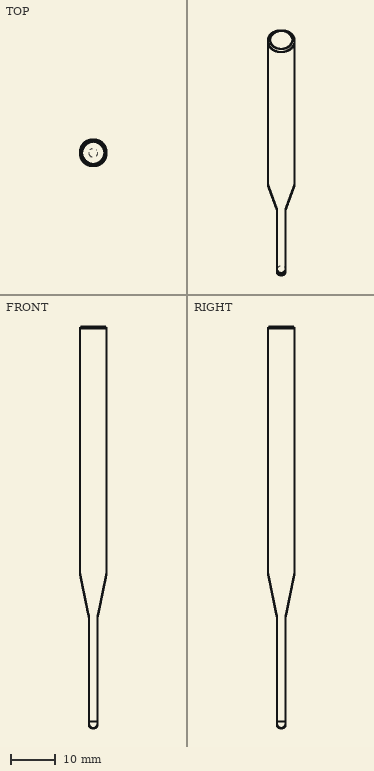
import cadquery as cq
import math

tool_length = 90.0
cone_top_height = 34.65
cone_bottom_height = 25.65
collar_height = 25.1
neck_top_height = 24.6
cutter_height = 1.5

neck_relief = 0.04
collar_flare = 0.05
cone_flare = 0.14

shank_radius = tool_length / 30
ball_radius = tool_length / 90
neck_radius = ball_radius - neck_relief
collar_radius = neck_radius + collar_flare
cone_bottom_radius = collar_radius + cone_flare

chamfer_size = 0.5


def make_cutter():
    """Ball-nosed cutting tip with a short cylindrical land, its tip at the origin."""
    diagonal = ball_radius * math.cos(math.radians(45))
    arc_middle = (diagonal, ball_radius - diagonal)
    return (
        cq.Workplane("XZ")
        .moveTo(0, 0)
        .threePointArc(arc_middle, (ball_radius, ball_radius))
        .lineTo(ball_radius, cutter_height)
        .lineTo(0, cutter_height)
        .close()
        .revolve(360, (0, 0), (0, 1))
    )


def make_holder():
    """Slim neck that widens through two short tapers and a cone to the chamfered shank."""
    profile = [
        (0, cutter_height),
        (neck_radius, cutter_height),
        (neck_radius, neck_top_height),
        (collar_radius, collar_height),
        (cone_bottom_radius, cone_bottom_height),
        (shank_radius, cone_top_height),
        (shank_radius, tool_length - chamfer_size),
        (shank_radius - chamfer_size, tool_length),
        (0, tool_length),
    ]
    return cq.Workplane("XZ").polyline(profile).close().revolve(360, (0, 0), (0, 1))


cutter = make_cutter()
holder = make_holder()

result = cq.Compound.makeCompound([cutter.val(), holder.val()])